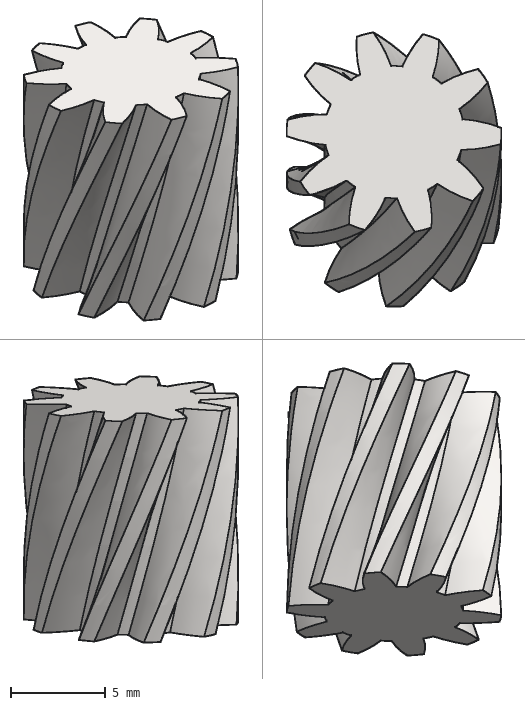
import cadquery as cq
import math

height = 12.0
tooth_count = 10
tip_radius = 5.69
root_radius = 3.7
tip_half_angle = 4.6
root_half_angle = 13.4
flank_mid_radius = 4.68
flank_mid_half_angle = 9.1
twist_angle = 51.4
top_tooth_angle = -1.8

tooth_pitch = 360.0 / tooth_count


def polar(radius, angle):
    """Point at a radius and an angle in degrees."""
    return (radius * math.cos(math.radians(angle)), radius * math.sin(math.radians(angle)))


def gear_outline(first_tooth_angle):
    """Closed outline with arc flanks, tip lands and root floors."""
    outline = cq.Workplane("XY").moveTo(*polar(root_radius, first_tooth_angle - root_half_angle))
    for index in range(tooth_count):
        center = first_tooth_angle + index * tooth_pitch
        next_center = center + tooth_pitch
        outline = (
            outline
            .threePointArc(
                polar(flank_mid_radius, center - flank_mid_half_angle),
                polar(tip_radius, center - tip_half_angle),
            )
            .threePointArc(polar(tip_radius, center), polar(tip_radius, center + tip_half_angle))
            .threePointArc(
                polar(flank_mid_radius, center + flank_mid_half_angle),
                polar(root_radius, center + root_half_angle),
            )
            .threePointArc(
                polar(root_radius, center + tooth_pitch / 2),
                polar(root_radius, next_center - root_half_angle),
            )
        )
    return outline.close()


result = gear_outline(top_tooth_angle - twist_angle).twistExtrude(height, twist_angle)